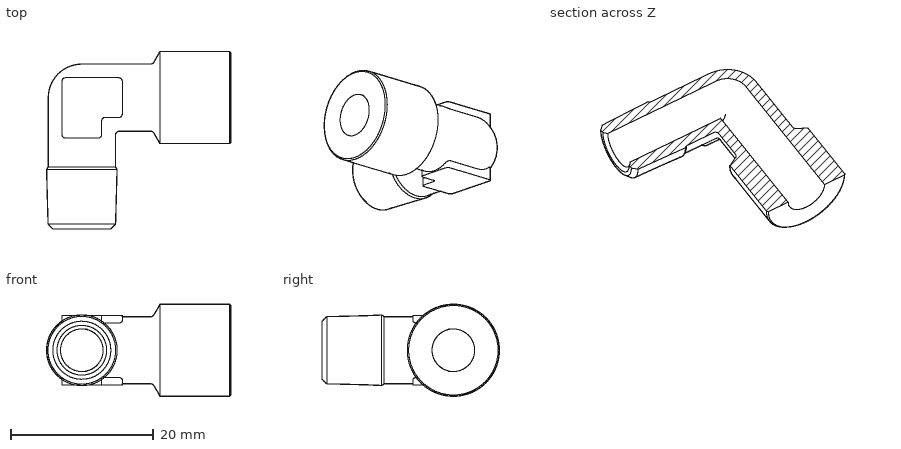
import cadquery as cq
import math

tube_radius = 4.75
bore_radius = 3.0
crotch_fillet = 0.5

male_length = 18.5
male_shoulder_start = 9.75
male_shoulder_radius = 4.98
male_shoulder_bevel = 0.35
male_tip_chamfer = 0.68
male_tip_radius = 4.77
male_bore_chamfer = 0.5

female_length = 21.0
female_radius = 6.5
female_cone_end = 11.0
female_cone_angle = 30.0
female_neck_fillet = 0.5
female_rim_chamfer = 0.2

pad_height = 4.9
pad_half_width = 2.8
pad_reach = 5.7
pad_corner_radius = 0.5
pad_notch_radius = 0.45


def make_male_leg():
    """Tapered male leg, revolved about the Y axis."""
    taper_start = male_shoulder_start + male_shoulder_bevel
    taper_end = male_length - male_tip_chamfer
    profile = (
        cq.Workplane("XY")
        .lineTo(tube_radius, 0)
        .lineTo(tube_radius, -male_shoulder_start)
        .lineTo(male_shoulder_radius, -taper_start)
        .lineTo(male_tip_radius, -taper_end)
        .lineTo(male_tip_radius - male_tip_chamfer, -male_length)
        .lineTo(0, -male_length)
        .close()
    )
    return profile.revolve(360, (0, 0, 0), (0, 1, 0))


def make_female_leg():
    """Female leg with a filleted cone up to the socket, revolved about the X axis."""
    angle = math.radians(female_cone_angle)
    cone_start = female_cone_end - (female_radius - tube_radius) * math.tan(angle)
    neck_turn = math.pi / 2 - angle
    tangent_length = female_neck_fillet * math.tan(neck_turn / 2)
    fillet_start = (cone_start - tangent_length, tube_radius)
    fillet_middle = (
        fillet_start[0] + female_neck_fillet * math.sin(neck_turn / 2),
        tube_radius + female_neck_fillet * (1 - math.cos(neck_turn / 2)),
    )
    fillet_end = (
        cone_start + tangent_length * math.cos(neck_turn),
        tube_radius + tangent_length * math.sin(neck_turn),
    )
    profile = (
        cq.Workplane("XY")
        .lineTo(0, tube_radius)
        .lineTo(*fillet_start)
        .threePointArc(fillet_middle, fillet_end)
        .lineTo(female_cone_end, female_radius)
        .lineTo(female_length - female_rim_chamfer, female_radius)
        .lineTo(female_length, female_radius - female_rim_chamfer)
        .lineTo(female_length, 0)
        .close()
    )
    return profile.revolve(360, (0, 0, 0), (1, 0, 0))


def make_pads():
    """L-shaped block through the corner; its two ends are the wrench pads."""
    block = (
        cq.Workplane("XY")
        .moveTo(-pad_half_width, pad_half_width)
        .lineTo(pad_reach, pad_half_width)
        .lineTo(pad_reach, -pad_half_width)
        .lineTo(pad_half_width, -pad_half_width)
        .lineTo(pad_half_width, -pad_reach)
        .lineTo(-pad_half_width, -pad_reach)
        .close()
        .extrude(pad_height, both=True)
    )
    notch = cq.selectors.NearestToPointSelector((pad_half_width, -pad_half_width, 0))
    block = block.edges("|Z").edges(notch).fillet(pad_notch_radius)
    outer_corners = block.edges("|Z").filter(is_outer_corner)
    return outer_corners.fillet(pad_corner_radius)


def is_outer_corner(edge):
    """True for pad corners, which lie at the reach or on the outside of the elbow."""
    center = edge.Center()
    at_tip = max(center.x, -center.y) > pad_reach - pad_notch_radius
    at_back = center.x < 0 < center.y
    return at_tip or at_back


def fillet_crotch(body):
    """Round the inside corner where the two legs meet."""
    crotch = cq.selectors.NearestToPointSelector((tube_radius, -tube_radius, 0))
    return body.edges(crotch).fillet(crotch_fillet)


def make_bore():
    """Bore through both legs with a spherical corner and a chamfered male mouth."""
    mouth_radius = bore_radius + male_bore_chamfer
    male_bore = (
        cq.Workplane("XY")
        .lineTo(bore_radius, 0)
        .lineTo(bore_radius, -male_length + male_bore_chamfer)
        .lineTo(mouth_radius, -male_length)
        .lineTo(0, -male_length)
        .close()
        .revolve(360, (0, 0, 0), (0, 1, 0))
    )
    female_bore = cq.Workplane("YZ").circle(bore_radius).extrude(female_length)
    return male_bore.union(female_bore).union(cq.Workplane("XY").sphere(bore_radius))


corner = cq.Workplane("XY").sphere(tube_radius)
legs = make_male_leg().union(make_female_leg()).union(corner)
body = fillet_crotch(legs.union(make_pads()))
result = body.cut(make_bore())